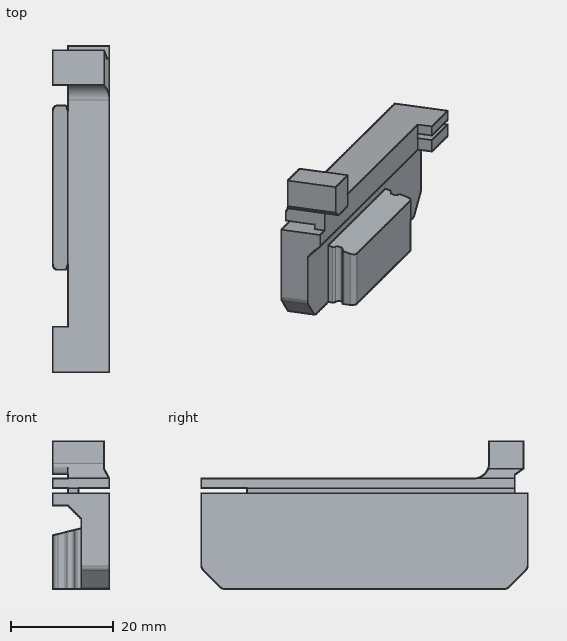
import cadquery as cq
import math

length = 63.5
width = 11.0
height = 28.8

rail_side_x = 2.9
web_side_x = 5.5
shelf_z = 18.7
flange_bottom_z = 16.25
flange_length = 8.9
end_chamfer = 4.05
end_chamfer_round = 1.3

slit_height = 0.95
bar_top_z = 21.5
bar_back_y = 61.0
wall_thickness = 2.1

head_front_y = 55.95
head_back_y = 62.7
head_width = 10.0
head_bottom_z = 22.3
head_fillet = 2.9
head_taper_top_z = 23.45
overhang_lip = 0.1
overhang_round = 0.9
overhang_back_round = 1.6
overhang_back_rise = 1.15

pad_front_y = 19.95
pad_back_y = 51.95
pad_outer_top_z = 10.5
pad_top_angle = 14.0
pad_corner_radius = 1.0
groove_center_x = 3.5
groove_radius = 0.75
groove_lip_radius = 0.45


def box(x0, x1, y0, y1, z0, z1):
    """Box given by its limits along each axis."""
    return cq.Workplane("XY").box(x1 - x0, y1 - y0, z1 - z0, centered=False).translate((x0, y0, z0))


def make_body():
    """Rail with an undercut side and chamfered, rounded lower ends."""
    undercut = web_side_x - rail_side_x
    body = (
        cq.Workplane("XZ")
        .moveTo(web_side_x, 0)
        .lineTo(width, 0)
        .lineTo(width, shelf_z)
        .lineTo(rail_side_x, shelf_z)
        .lineTo(rail_side_x, flange_bottom_z)
        .lineTo(web_side_x, flange_bottom_z - undercut)
        .close()
        .extrude(-length)
    )
    end_outline = (
        cq.Workplane("YZ")
        .moveTo(end_chamfer, 0)
        .lineTo(length - end_chamfer, 0)
        .lineTo(length, end_chamfer)
        .lineTo(length, shelf_z)
        .lineTo(0, shelf_z)
        .lineTo(0, end_chamfer)
        .close()
        .extrude(width)
    )
    lower_edges = cq.selectors.BoxSelector((-0.65, -0.65, -0.65), (width + 0.65, length + 0.65, end_chamfer + 0.65))
    end_outline = end_outline.edges("|X").edges(lower_edges).fillet(end_chamfer_round)
    return body.intersect(end_outline)


def make_flanges():
    """Two side flanges at the front end, separated by the slit."""
    lower = box(0, rail_side_x, 0, flange_length, flange_bottom_z, shelf_z)
    upper = box(0, rail_side_x, 0, flange_length, shelf_z + slit_height, bar_top_z)
    return lower, upper


def make_bar():
    """Upper bar and the narrow wall that joins it to the body."""
    bar_bottom_z = shelf_z + slit_height
    bar = box(rail_side_x, width, 0, bar_back_y, bar_bottom_z, bar_top_z)
    wall = box(rail_side_x, rail_side_x + wall_thickness, flange_length, bar_back_y, shelf_z, bar_bottom_z)
    return bar.union(wall)


def make_head():
    """Head with a filleted foot, an overhang and a tapered far side."""
    diagonal = math.sqrt(0.5)
    fillet_start_y = head_front_y - head_fillet
    fillet_mid = (
        fillet_start_y + head_fillet * diagonal,
        bar_top_z + head_fillet * (1 - diagonal),
    )
    profile = (
        cq.Workplane("YZ")
        .moveTo(fillet_start_y, bar_top_z)
        .threePointArc(fillet_mid, (head_front_y, bar_top_z + head_fillet))
        .lineTo(head_front_y, height)
        .lineTo(head_back_y, height)
        .lineTo(head_back_y, head_bottom_z + overhang_back_rise)
        .lineTo(head_back_y - overhang_back_round, head_bottom_z)
        .lineTo(bar_back_y, head_bottom_z)
        .lineTo(bar_back_y, bar_top_z)
        .close()
        .extrude(width)
    )

    taper = (
        cq.Workplane("XZ")
        .moveTo(0, bar_top_z)
        .lineTo(width, bar_top_z)
        .lineTo(head_width, head_taper_top_z)
        .lineTo(head_width, height)
        .lineTo(0, height)
        .close()
        .extrude(-length)
    )

    overhang_front_y = head_front_y - overhang_lip
    overhang = box(0, rail_side_x, overhang_front_y, length, head_bottom_z, height)
    overhang = overhang.edges("|X and <Y and <Z").fillet(overhang_round)
    main = box(rail_side_x, width, 0, length, bar_top_z, height)
    return profile.intersect(taper).intersect(main.union(overhang))


def make_end_groove(end_y, inward):
    """Groove across one pad end; inward is +1 or -1 along Y."""
    lip = groove_lip_radius
    outer = groove_radius + lip
    shoulder_y = end_y + inward * lip
    lip_offset = lip * math.sqrt(0.5)
    arc_drop = inward * (lip - lip_offset)
    left, right = groove_center_x - groove_radius, groove_center_x + groove_radius
    return (
        cq.Workplane("XY")
        .moveTo(groove_center_x - outer, end_y)
        .threePointArc((left - lip + lip_offset, end_y + arc_drop), (left, shoulder_y))
        .threePointArc((groove_center_x, shoulder_y + inward * groove_radius), (right, shoulder_y))
        .threePointArc((right + lip - lip_offset, end_y + arc_drop), (groove_center_x + outer, end_y))
        .close()
        .extrude(height)
    )


def make_pad():
    """Side pad with rounded outer corners, grooved ends and a sloping top."""
    inner_top_z = pad_outer_top_z + web_side_x * math.tan(math.radians(pad_top_angle))
    pad = (
        cq.Workplane("XZ", origin=(0, pad_front_y, 0))
        .moveTo(0, 0)
        .lineTo(web_side_x, 0)
        .lineTo(web_side_x, inner_top_z)
        .lineTo(0, pad_outer_top_z)
        .close()
        .extrude(pad_front_y - pad_back_y)
    )
    pad = pad.edges("|Z and <X").fillet(pad_corner_radius)
    for end_y, inward in ((pad_front_y, 1), (pad_back_y, -1)):
        pad = pad.cut(make_end_groove(end_y, inward))
    return pad


result = make_body()
for piece in (*make_flanges(), make_bar(), make_head(), make_pad()):
    result = result.union(piece)